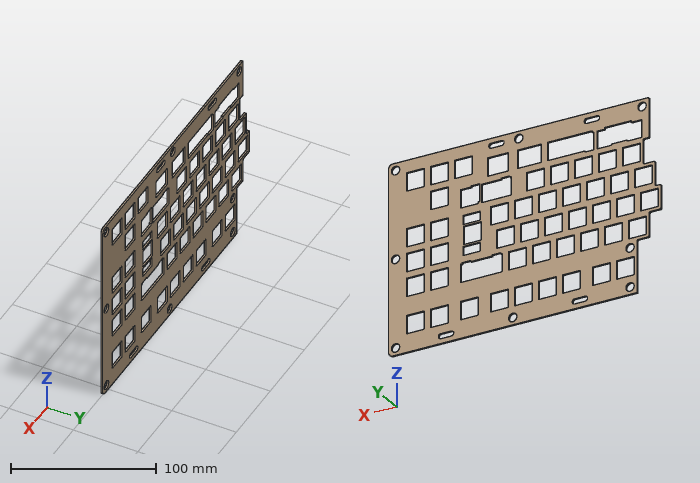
import cadquery as cq

length = 216.4
height = 147.4
thickness = 1.5
outer_corner_radius = 3.5
step_corner_radius = 1.0

pitch = 19.0
edge_trim = 0.15
key_reach = pitch / 2 - edge_trim
home_x = key_reach
home_z = height / 2 - pitch / 4

switch_size = 14.0
cutout_corner_radius = 0.5

stabilizer_width = 7.0
stabilizer_height = 13.6
stabilizer_half_spacing = 12.0
stabilizer_offset = 1.0
upright_stabilizer_offset = 0.6

hole_diameter = 6.5
lower_left_hole_z = 35.7
slot_length = 12.1
slot_width = 4.0
slots_top_x = (55.0, 130.7)
slots_bottom_x = (64.5, 170.7)
border = 5.6

switch_columns = {
    3.25: [7.75, 8.75, 9.75],
    2.25: [8.75],
    2: [0.75, 1.75, 2.75, 3.75, 4.75, 7.5],
    1: [0.25, 1.25, 2.25, 3.25, 4.25, 5.25, 6.25, 8.75, 9.75],
    0.5: [7.375],
    0: [0, 1, 2, 3, 4, 5, 6, 8.75, 9.75],
    -1: [0.5, 1.5, 2.5, 3.5, 4.5, 5.5, 8.75, 9.75],
    -2.5: [1, 2, 3.25, 4.25, 5.25, 6.25, 7.5, 8.75, 9.75],
}

stretched_switches = [
    (3, 1.125, 1.5),
    (3, 2.75, 3.875),
    (3, 4.875, 5.125),
    (3, 6.25, 6.375),
    (2, 6.125, 6.625),
    (-1, 6.5, 7.5),
]

stabilizers = [
    (3, 1.125, (-1, 1), -stabilizer_offset),
    (3, 1.375, (-1, 1), -stabilizer_offset),
    (3, 3.125, (-1,), -stabilizer_offset),
    (2, 6.625, (-1, 1), stabilizer_offset),
    (-1, 7, (-1, 1), stabilizer_offset),
]

upright_key_column = 7.375
upright_key_row = 0.5


def column_x(column):
    return home_x + column * pitch


def row_z(row):
    return home_z + row * pitch


def window(x, z, width, depth):
    """Round-cornered rectangular cutter centred on (x, z), as deep as the plate is thick."""
    blank = cq.Workplane("XZ").center(x, z).rect(width, depth).extrude(-thickness)
    return blank.edges("|Y").fillet(cutout_corner_radius)


def switch(row, first_column, last_column):
    """Switch cutter stretched from the first to the last column it serves."""
    x = column_x((first_column + last_column) / 2)
    width = switch_size + (last_column - first_column) * pitch
    return window(x, row_z(row), width, switch_size)


def switch_cutters():
    plain = [(row, column, column) for row, columns in switch_columns.items() for column in columns]
    return [switch(*place) for place in plain + stretched_switches]


def stabilizer_cutters():
    cutters = []
    for row, column, sides, offset in stabilizers:
        for side in sides:
            x = column_x(column) + side * stabilizer_half_spacing
            cutters.append(window(x, row_z(row) + offset, stabilizer_width, stabilizer_height))
    for side in (-1, 1):
        x = column_x(upright_key_column) + upright_stabilizer_offset
        z = row_z(upright_key_row) + side * stabilizer_half_spacing
        cutters.append(window(x, z, stabilizer_height, stabilizer_width))
    return cutters


def plate():
    """Plate whose left side is stepped to follow the stagger of the key rows."""
    steps = [
        (0.5, row_z(3) - key_reach),
        (0.75, row_z(1) + key_reach),
        (0.25, row_z(0) + key_reach),
        (0, row_z(0) - key_reach),
        (0.5, row_z(-1) - key_reach),
        (1, 0),
    ]
    outline = [(length, 0), (length, height)]
    z_upper = height
    for column, z_lower in steps:
        x_left = column_x(column) - key_reach
        outline += [(x_left, z_upper), (x_left, z_lower)]
        z_upper = z_lower
    body = cq.Workplane("XZ").polyline(outline).close().extrude(-thickness)
    body = body.edges("|Y and >X").fillet(outer_corner_radius)

    steps_box = cq.selectors.BoxSelector(
        (-home_x, -thickness, home_x),
        (length / 2, 2 * thickness, 2 * height),
    )
    return body.edges("|Y").edges(steps_box).fillet(step_corner_radius)


def mounting_cutters():
    """Round holes and slots close to the plate edges."""
    x_right = length - border
    x_top_left = pitch / 2 + border
    x_bottom_left = pitch + border
    z_top = height - border
    holes = [
        (x_top_left, z_top),
        ((x_top_left + x_right) / 2, z_top),
        (x_right, z_top),
        (x_right, height / 2),
        (x_bottom_left, lower_left_hole_z),
        (x_bottom_left, border),
        ((x_bottom_left + x_right) / 2, border),
        (x_right, border),
    ]
    slots = [(x, z_top) for x in slots_top_x] + [(x, border) for x in slots_bottom_x]
    face = cq.Workplane("XZ")
    return [
        face.pushPoints(holes).circle(hole_diameter / 2).extrude(-thickness),
        face.pushPoints(slots).slot2D(slot_length, slot_width).extrude(-thickness),
    ]


result = plate()
for cutter in switch_cutters() + stabilizer_cutters() + mounting_cutters():
    result = result.cut(cutter)